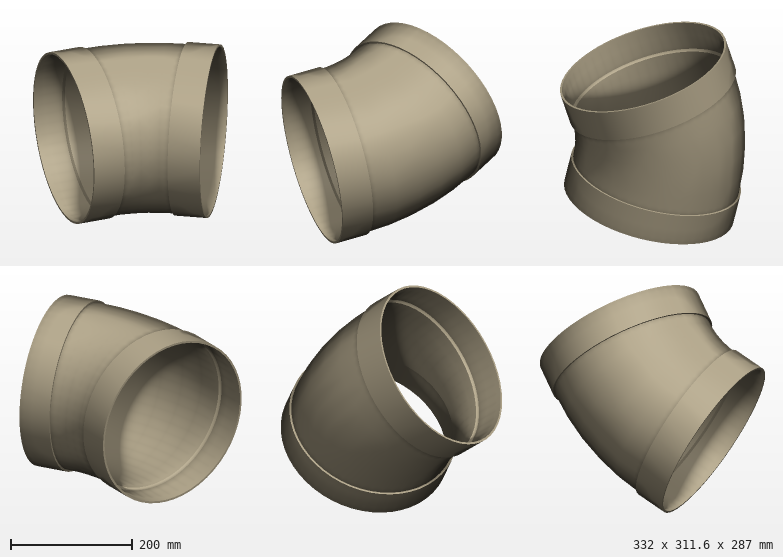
import cadquery as cq

socket_outer_diameter = 287.0
socket_bore_diameter = 280.0
socket_length = 53.5
bend_angle = 30

wall = (socket_outer_diameter - socket_bore_diameter) / 2
elbow_outer_diameter = socket_bore_diameter
elbow_bore_diameter = elbow_outer_diameter - 2 * wall
bend_radius = elbow_outer_diameter
bore_taper_length = wall


def make_elbow():
    """Curved pipe that leaves the inlet along +Y and turns towards +X."""
    section = cq.Workplane("XZ").circle(elbow_outer_diameter / 2).circle(elbow_bore_diameter / 2)
    return section.revolve(bend_angle, (bend_radius, 3.3, 0), (bend_radius, 0, 0))


def make_socket():
    """Inlet socket, with a conical step from its bore down to the elbow bore."""
    socket_radius = socket_outer_diameter / 2
    wall_section = [
        (socket_radius, 0),
        (socket_radius, -socket_length),
        (socket_bore_diameter / 2, -socket_length),
        (socket_bore_diameter / 2, -bore_taper_length),
        (elbow_bore_diameter / 2, 0),
    ]
    return cq.Workplane("XY").polyline(wall_section).close().revolve(360, (0, 0, 0), (0, 1, 0))


inlet_socket = make_socket()

outlet_socket = (
    make_socket()
    .mirror("XZ")
    .rotate((bend_radius, 0, 0), (bend_radius, 0, 1), -bend_angle)
)

result = make_elbow().union(inlet_socket).union(outlet_socket)